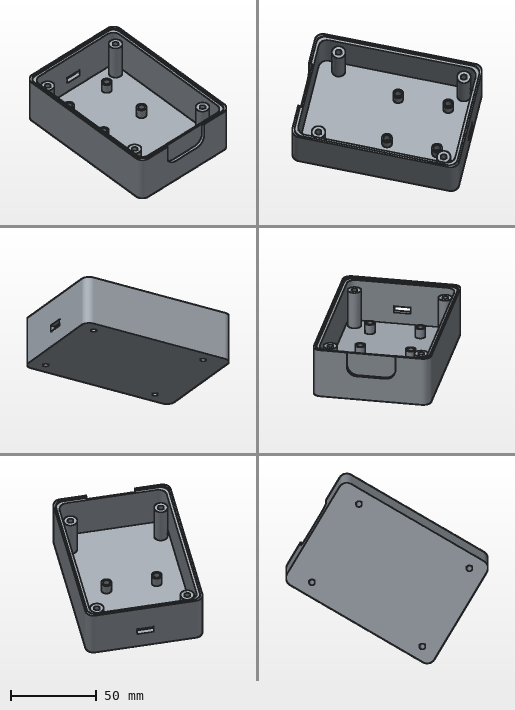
import cadquery as cq

length = 100.0
width = 70.0
height = 30.0
corner_radius = 5.0
wall = 3.0
floor = 3.0

rim = 1.2
seat_depth = 1.0
seat_radius = corner_radius

post_diameter = 8.0
post_hole = 3.5
post_height = 23.0
post_spacing = (75.0, 54.0)
post_center = (-2.5, 0)

standoff_diameter = 6.0
standoff_hole = 4.0
standoff_height = 6.0
standoff_spacing = 30.0
standoff_center = (-18.0, -1.5)

slot_width = 10.0
slot_height = 4.0
slot_bottom = 10.0
slot_radius = 0.5

recess_width = 29.0
recess_radius = 6.2
recess_depth = 2.0
recess_height = 15.0


def rounded_block(size_x, size_y, size_z, radius, bottom):
    """Block centred on the Z axis with rounded vertical edges."""
    block = cq.Workplane("XY").workplane(offset=bottom).rect(size_x, size_y).extrude(size_z)
    return block.edges("|Z").fillet(radius)


def cylinders(spacing_x, spacing_y, center, diameter, bottom, tall):
    """Four upright cylinders at the corners of a rectangle."""
    plane = cq.Workplane("XY").workplane(offset=bottom).center(*center)
    return plane.rect(spacing_x, spacing_y, forConstruction=True).vertices().circle(diameter / 2).extrude(tall)


def wall_cutter(x_center, depth, size_y, size_z, bottom, radius):
    """Cutter for an end wall, with rounded lower corners."""
    cutter = cq.Workplane("XY").box(depth, size_y, size_z)
    cutter = cutter.edges("|X and <Z").fillet(radius)
    return cutter.translate((x_center, 0, bottom + size_z / 2))


body = rounded_block(length, width, height, corner_radius, 0)
body = body.cut(rounded_block(length - 2 * wall, width - 2 * wall, height, corner_radius, floor))
seat_bottom = height - seat_depth
body = body.cut(rounded_block(length - 2 * rim, width - 2 * rim, height, seat_radius, seat_bottom))

body = body.union(cylinders(*post_spacing, post_center, post_diameter, 0, floor + post_height))
body = body.cut(cylinders(*post_spacing, post_center, post_hole, 0, height))

standoff_grid = (standoff_spacing, standoff_spacing, standoff_center)
body = body.union(cylinders(*standoff_grid, standoff_diameter, 0, floor + standoff_height))
body = body.cut(cylinders(*standoff_grid, standoff_hole, floor, standoff_height))

slot_x = (wall - length) / 2
body = body.cut(wall_cutter(slot_x, wall, slot_width, slot_height, slot_bottom, slot_radius))
recess_x = (length - recess_depth) / 2
recess_bottom = height - recess_height
body = body.cut(wall_cutter(recess_x, recess_depth, recess_width, recess_height, recess_bottom, recess_radius))

result = body